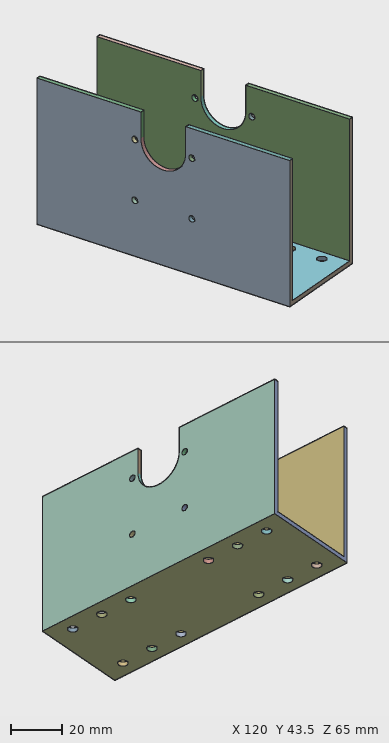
import cadquery as cq

length = 120.0
width = 43.5
height = 65.0
wall = 2.0

notch_width = 21.2
notch_depth = 22.5

side_hole_diameter = 2.8
side_hole_pitch = 27.0
side_pattern_height = 38.4

floor_hole_diameter = 4.1
floor_hole_first = 20.0
floor_hole_step = 15.0
floor_holes_per_group = 3
floor_row_spacing = 30.0


def channel():
    """U-shaped channel, open at the top and at both ends, standing on Z = 0."""
    block = cq.Workplane("XY").box(length, width, height, centered=(True, True, False))
    inside = (
        cq.Workplane("XY")
        .workplane(offset=wall)
        .box(length, width - 2 * wall, height - wall, centered=(True, True, False))
    )
    return block.cut(inside)


def notch_cutter():
    """Vertical-sided notch with a semicircular bottom, crossing both walls."""
    radius = notch_width / 2
    arc_center_height = height - notch_depth + radius
    return (
        cq.Workplane("XZ")
        .moveTo(-radius, height)
        .lineTo(-radius, arc_center_height)
        .threePointArc((0, height - notch_depth), (radius, arc_center_height))
        .lineTo(radius, height)
        .close()
        .extrude(width / 2, both=True)
    )


def side_hole_cutter():
    """Four pins on a square pattern, crossing both walls."""
    return (
        cq.Workplane("XZ")
        .center(0, side_pattern_height)
        .rarray(side_hole_pitch, side_hole_pitch, 2, 2)
        .circle(side_hole_diameter / 2)
        .extrude(width / 2, both=True)
    )


def floor_hole_cutter():
    """Two rows of pins through the floor, in a group near each end."""
    points = []
    for index in range(floor_holes_per_group):
        x = floor_hole_first + index * floor_hole_step
        for x_side in (-1, 1):
            for y_side in (-1, 1):
                points.append((x_side * x, y_side * floor_row_spacing / 2))
    return cq.Workplane("XY").pushPoints(points).circle(floor_hole_diameter / 2).extrude(wall)


result = (
    channel()
    .cut(notch_cutter())
    .cut(side_hole_cutter())
    .cut(floor_hole_cutter())
)